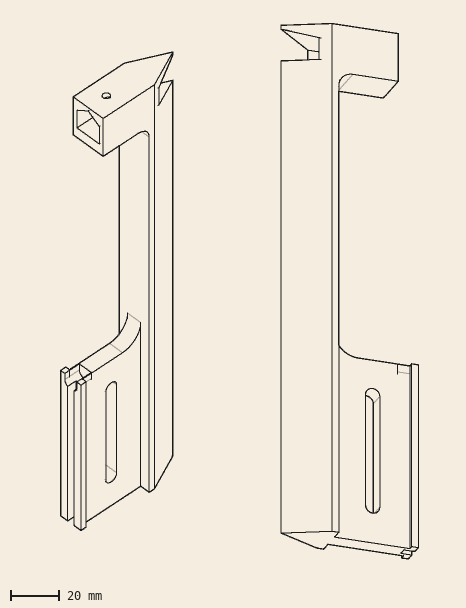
import cadquery as cq

height = 230.0
body_width = 18.0
total_depth = 58.2

wedge_depth = 19.0
spine_depth = 22.0
head_depth = 48.3
head_height = 21.6
head_fillet = 6.2

window_wall = 2.3
window_apex_drop = 1.8
window_eave_drop = 6.2
window_floor_drop = 16.0
pin_hole_diameter = 3.5
pin_hole_depth_position = 38.0

web_width = 7.8
web_height = 82.8
web_fillet = 10.4
flange_width = 12.2
flange_thickness = 3.0

slot_width = 6.2
slot_length = 56.4
slot_bottom = 13.5
slot_depth_position = 38.9

groove_width = 3.7
groove_depth = 4.8
seat_width = 7.1
seat_corner_radius = 3.0
seat_depth = 8.3
seat_height = 6.5


def box_between(width, depth_start, depth_end, bottom, top):
    """Box centred on X, running between two depths behind the spine edge."""
    return (
        cq.Workplane("XY")
        .box(width, depth_end - depth_start, top - bottom, centered=(True, False, False))
        .translate((0, -depth_end, bottom))
    )


def make_spine_and_head():
    half = body_width / 2
    outline = [
        (0, 0),
        (half, -wedge_depth),
        (half, -head_depth),
        (-half, -head_depth),
        (-half, -wedge_depth),
    ]
    pointed_column = (
        cq.Workplane("XY")
        .polyline(outline)
        .close()
        .extrude(height)
    )
    profile = (
        cq.Workplane("YZ")
        .moveTo(0, 0)
        .lineTo(0, height)
        .lineTo(-head_depth, height)
        .lineTo(-head_depth, height - head_height)
        .lineTo(-spine_depth - head_fillet, height - head_height)
        .radiusArc((-spine_depth, height - head_height - head_fillet), head_fillet)
        .lineTo(-spine_depth, 0)
        .close()
        .extrude(half, both=True)
    )
    return pointed_column.intersect(profile)


def make_web():
    plate = (
        cq.Workplane("YZ")
        .moveTo(-wedge_depth, 0)
        .lineTo(-wedge_depth, web_height + web_fillet)
        .lineTo(-spine_depth, web_height + web_fillet)
        .radiusArc((-spine_depth - web_fillet, web_height), web_fillet)
        .lineTo(-total_depth, web_height)
        .lineTo(-total_depth, 0)
        .close()
        .extrude(web_width / 2, both=True)
    )
    flange = box_between(flange_width, total_depth - flange_thickness, total_depth, 0, web_height)
    return plate.union(flange)


def make_window():
    half = body_width / 2 - window_wall
    floor = height - window_floor_drop
    eave = height - window_eave_drop
    apex = height - window_apex_drop
    return (
        cq.Workplane("XZ")
        .polyline([(-half, floor), (half, floor), (half, eave), (0, apex), (-half, eave)])
        .close()
        .extrude(head_depth)
    )


def make_pin_hole():
    """Vertical hole through the roof, ending inside the window."""
    return (
        cq.Workplane("XY", origin=(0, -pin_hole_depth_position, height))
        .circle(pin_hole_diameter / 2)
        .extrude(-window_eave_drop)
    )


def make_slot():
    return (
        cq.Workplane("YZ")
        .center(-slot_depth_position, slot_bottom + slot_length / 2)
        .slot2D(slot_length, slot_width, 90)
        .extrude(web_width / 2, both=True)
    )


def make_groove():
    return box_between(groove_width, total_depth - groove_depth, total_depth, 0, web_height)


def make_seat():
    seat_floor = web_height - seat_height
    seat = box_between(seat_width, total_depth - seat_depth, total_depth, seat_floor, web_height)
    return seat.edges("|Y and <Z").fillet(seat_corner_radius)


result = make_spine_and_head().union(make_web())
for cutter in (make_window(), make_pin_hole(), make_slot(), make_groove(), make_seat()):
    result = result.cut(cutter)